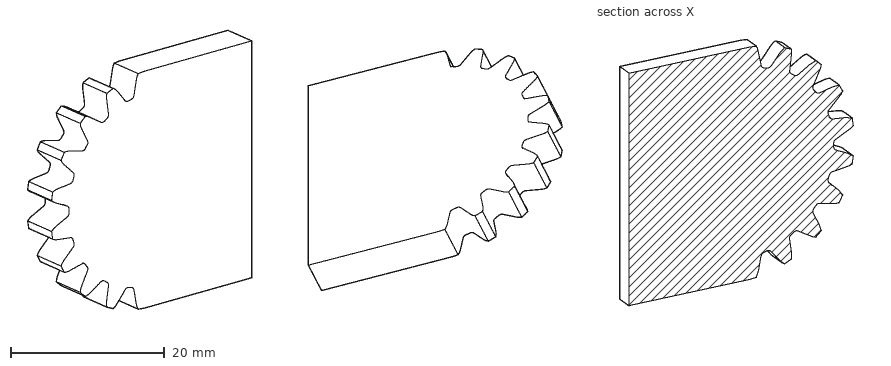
import cadquery as cq
import math

thickness = 5.0
length = 33.37
height = 32.97
flat_overrun = 0.8

full_tooth_count = 19
gap_count = 9
root_radius = 13.45
root_land_half_width = 0.25
foot_radius = 13.6
foot_half_width = 1.6
straight_start_radius = 13.95
straight_start_half_width = 1.47
straight_end_radius = 15.62
straight_end_half_width = 1.0
shoulder_radius = 16.15
shoulder_half_width = 0.8
tip_half_width = 0.57

half_height = height / 2
pitch_angle = 2 * math.pi / full_tooth_count
first_tooth = -gap_count / 2 * pitch_angle
last_tooth = -first_tooth
tip_radius = math.hypot(half_height, flat_overrun)


def circle_point(radius, angle):
    """Y, Z point on a circle about the gear axis, with the angle measured from -Y."""
    return -radius * math.cos(angle), radius * math.sin(angle)


def offset_point(center_angle, radius, offset):
    """Y, Z point at a radius, offset sideways from a radial centre line."""
    return circle_point(radius, center_angle + math.asin(offset / radius))


def flank_points(tooth, side):
    """Points of one smooth tooth flank, from root to tip; side is -1 or 1."""
    gap_middle = tooth + side * pitch_angle / 2
    straight_middle_radius = (straight_start_radius + straight_end_radius) / 2
    straight_middle_half_width = (straight_start_half_width + straight_end_half_width) / 2
    return [
        offset_point(gap_middle, root_radius, -side * root_land_half_width),
        offset_point(tooth, foot_radius, side * foot_half_width),
        offset_point(tooth, straight_start_radius, side * straight_start_half_width),
        offset_point(tooth, straight_middle_radius, side * straight_middle_half_width),
        offset_point(tooth, straight_end_radius, side * straight_end_half_width),
        offset_point(tooth, shoulder_radius, side * shoulder_half_width),
        offset_point(tooth, tip_radius, side * tip_half_width),
    ]


foremost_y = offset_point(pitch_angle / 2, tip_radius, -tip_half_width)[0]
back_y = foremost_y + length

outline = cq.Workplane("YZ").moveTo(back_y, -half_height).lineTo(-flat_overrun, -half_height)
for gap in range(gap_count):
    tooth = first_tooth + gap * pitch_angle
    next_tooth = tooth + pitch_angle
    falling = flank_points(tooth, 1)[::-1]
    rising = flank_points(next_tooth, -1)
    outline = outline.threePointArc(circle_point(tip_radius, tooth), falling[0])
    outline = outline.spline(falling[1:], includeCurrent=True)
    outline = outline.threePointArc(circle_point(root_radius, tooth + pitch_angle / 2), rising[0])
    outline = outline.spline(rising[1:], includeCurrent=True)
outline = outline.threePointArc(circle_point(tip_radius, last_tooth), (-flat_overrun, half_height))
outline = outline.lineTo(back_y, half_height).close()

result = outline.extrude(thickness)